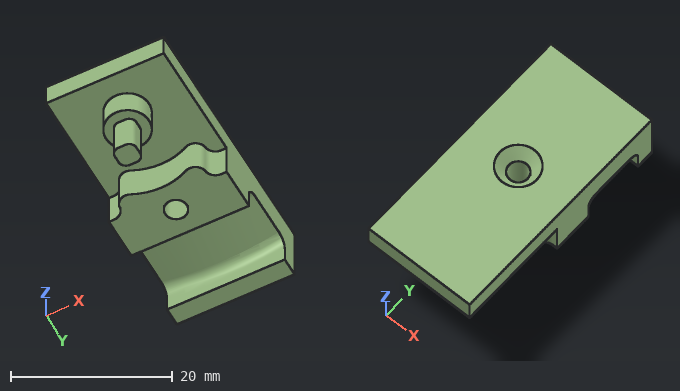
import cadquery as cq
import math

LENGTH = 34.5
WIDTH = 16.5
PLATE_THICKNESS = 3.38
BLOCK_DEPTH = 8.28
PIN_TIP_DEPTH = 12.08
HALF_WIDTH = WIDTH / 2
HALF_LENGTH = LENGTH / 2

SHOULDER_Y = -0.7
LOBE_DIAMETER = 3.0
LOBE_RADIUS = LOBE_DIAMETER / 2
LOBE_X = 1.5 * LOBE_DIAMETER
LOBE_Y = -1.83

CHANNEL_BACK_WALL = 2.62
CHANNEL_WIDTH = 9.4
CHANNEL_SIDE_DEPTH = 4.45
CHANNEL_SAG = 1.07
CHANNEL_FILLET = 1.5

BOSS_Y = -11.25
BOSS_DIAMETER = 6.0
BOSS_BOTTOM_DEPTH = 6.85
PIN_SIZE = 3.0
PIN_CORNER_RADIUS = PIN_SIZE / 3

HOLE_Y = 1.52
HOLE_DIAMETER = 3.0
COUNTERSINK_DIAMETER = 6.0
COUNTERSINK_ANGLE = 90


def make_plate():
    return cq.Workplane("XY").rect(WIDTH, LENGTH).extrude(-PLATE_THICKNESS)


def make_block():
    """Full-width block whose front wall is a chain of tangent arcs."""
    fillet_y = SHOULDER_Y - LOBE_RADIUS
    fillet_x = LOBE_X + math.sqrt(LOBE_DIAMETER**2 - (LOBE_Y - fillet_y) ** 2)
    waist_x = (LOBE_X + fillet_x) / 2
    waist_y = (LOBE_Y + fillet_y) / 2
    bend = LOBE_RADIUS * math.sqrt(0.5)
    bend_x = fillet_x - bend
    bend_y = fillet_y + bend
    lobe_tip_y = LOBE_Y - LOBE_RADIUS

    boss_to_lobe = math.hypot(LOBE_X, LOBE_Y - BOSS_Y)
    hollow_radius = boss_to_lobe - LOBE_RADIUS
    hollow_end_x = LOBE_X * hollow_radius / boss_to_lobe
    hollow_end_y = BOSS_Y + (LOBE_Y - BOSS_Y) * hollow_radius / boss_to_lobe
    hollow_top_y = BOSS_Y + hollow_radius

    return (
        cq.Workplane("XY")
        .moveTo(-HALF_WIDTH, HALF_LENGTH)
        .lineTo(-HALF_WIDTH, SHOULDER_Y)
        .lineTo(-fillet_x, SHOULDER_Y)
        .threePointArc((-bend_x, bend_y), (-waist_x, waist_y))
        .threePointArc((-LOBE_X, lobe_tip_y), (-hollow_end_x, hollow_end_y))
        .threePointArc((0, hollow_top_y), (hollow_end_x, hollow_end_y))
        .threePointArc((LOBE_X, lobe_tip_y), (waist_x, waist_y))
        .threePointArc((bend_x, bend_y), (fillet_x, SHOULDER_Y))
        .lineTo(HALF_WIDTH, SHOULDER_Y)
        .lineTo(HALF_WIDTH, HALF_LENGTH)
        .close()
        .extrude(-BLOCK_DEPTH)
    )


def make_channel():
    """Cutter for the channel: its ceiling sags towards mid-width, with rounded corners."""
    return (
        cq.Workplane("XZ", origin=(0, HALF_LENGTH - CHANNEL_BACK_WALL, 0))
        .moveTo(-HALF_WIDTH, -BLOCK_DEPTH)
        .lineTo(-HALF_WIDTH, -CHANNEL_SIDE_DEPTH)
        .threePointArc((0, -CHANNEL_SIDE_DEPTH - CHANNEL_SAG), (HALF_WIDTH, -CHANNEL_SIDE_DEPTH))
        .lineTo(HALF_WIDTH, -BLOCK_DEPTH)
        .close()
        .extrude(CHANNEL_WIDTH)
        .edges("%CIRCLE")
        .fillet(CHANNEL_FILLET)
    )


def make_boss():
    return (
        cq.Workplane("XY")
        .center(0, BOSS_Y)
        .circle(BOSS_DIAMETER / 2)
        .extrude(-BOSS_BOTTOM_DEPTH)
    )


def make_pin():
    return (
        cq.Workplane("XY")
        .center(0, BOSS_Y)
        .rect(PIN_SIZE, PIN_SIZE)
        .extrude(-PIN_TIP_DEPTH)
        .edges("|Z")
        .fillet(PIN_CORNER_RADIUS)
    )


body = make_plate().union(make_block()).cut(make_channel())
body = body.union(make_boss()).union(make_pin())
result = (
    body.faces(">Z")
    .workplane(origin=(0, 0, 0))
    .center(0, HOLE_Y)
    .cskHole(HOLE_DIAMETER, COUNTERSINK_DIAMETER, COUNTERSINK_ANGLE)
)